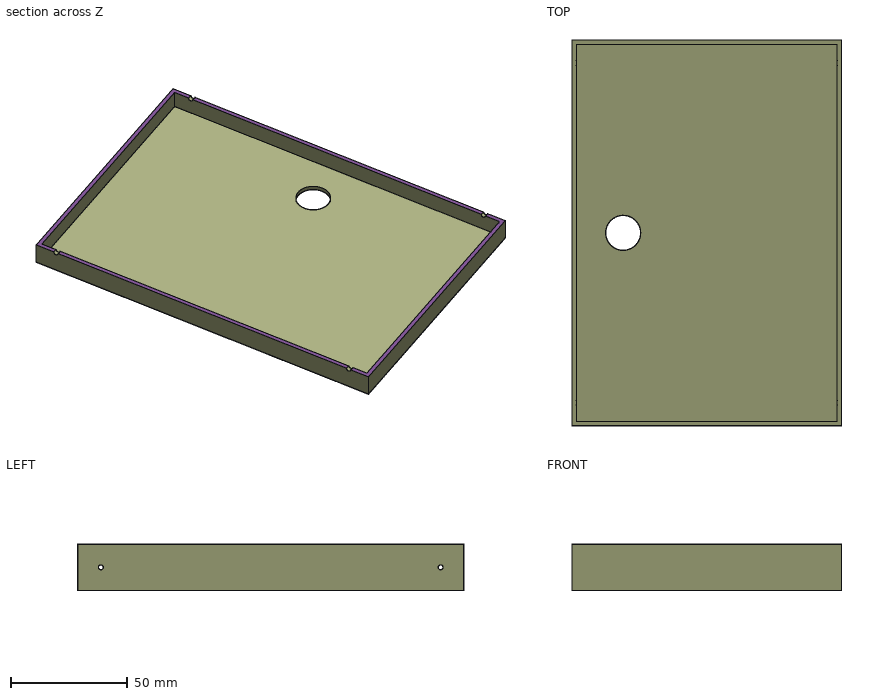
import cadquery as cq

width = 116.0
length = 166.0
height = 20.0
wall = 2.0
floor = 2.0

opening_diameter = 15.0
opening_from_edge = 22.0

screw_diameter = 2.0
screw_from_end = 10.0
screw_height = height / 2


def make_tray():
    """Open-topped rectangular box, centred in X and Y, resting on Z = 0."""
    outer = cq.Workplane("XY").box(width, length, height, centered=(True, True, False))
    cavity = (
        cq.Workplane("XY", origin=(0, 0, floor))
        .rect(width - 2 * wall, length - 2 * wall)
        .extrude(height - floor)
    )
    return outer.cut(cavity)


def floor_opening():
    """Cylinder that cuts the round opening in the floor."""
    opening_x = -width / 2 + opening_from_edge
    return cq.Workplane("XY").center(opening_x, 0).circle(opening_diameter / 2).extrude(floor)


def screw_holes():
    """Two cylinders along X that pass through both long walls."""
    screw_y = length / 2 - screw_from_end
    return (
        cq.Workplane("YZ", origin=(-width / 2, 0, screw_height))
        .pushPoints([(-screw_y, 0), (screw_y, 0)])
        .circle(screw_diameter / 2)
        .extrude(width)
    )


result = make_tray().cut(floor_opening()).cut(screw_holes())